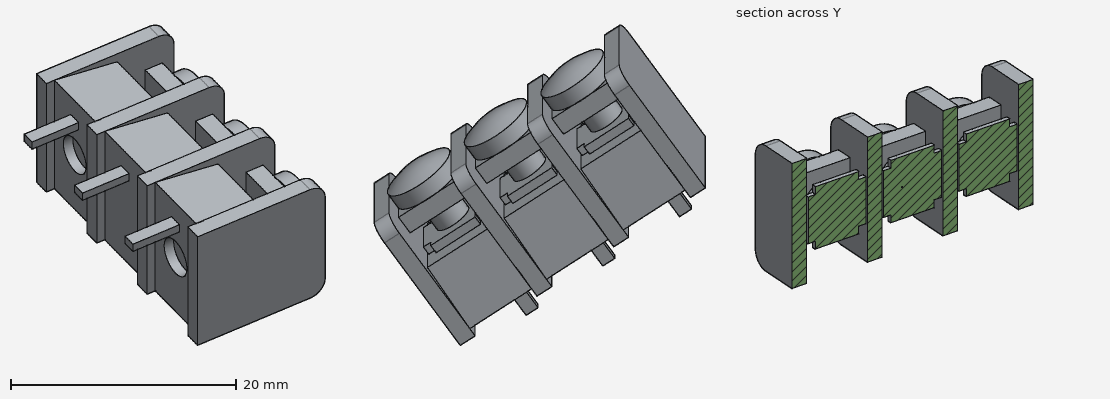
import cadquery as cq
import math


length = 26.42
cell_count = 3
wall_thickness = 1.6
wall_depth = 13.47
wall_corner_radius = 1.6
wall_height = 12.7
pitch = (length - wall_thickness) / cell_count

body_front = 0.85
body_back = 7.48
body_taper = 0.92

recess_diameter = 3.73
recess_depth = 1.0

pin_width = 1.3
metal_thickness = 0.85
pin_tip = -4.07
pin_height = 3.85

contact_size = 6.37
contact_notch = 0.8

clamp_size = 6.42
clamp_front = 10.35
clamp_back = 12.15
shank_diameter = 3.43
head_diameter = 6.7
head_rim_height = 1.53
dome_height = 0.8

wall_positions = [(i - cell_count / 2) * pitch for i in range(cell_count + 1)]
cell_positions = [(i - (cell_count - 1) / 2) * pitch for i in range(cell_count)]
end_cells = (cell_positions[0], cell_positions[-1])


def block(x, z, y_start, y_end, width, depth_z):
    """Rectangular bar along Y, centred on (x, z)."""
    return cq.Workplane("XY").box(width, y_end - y_start, depth_z).translate((x, (y_start + y_end) / 2, z))


def wall(x):
    """Barrier wall with rounded corners on the screw side."""
    plate = block(x, 0, 0, wall_depth, wall_thickness, wall_height)
    return plate.edges("|X and >Y").fillet(wall_corner_radius)


def body(x):
    """Cell body with sloping top and bottom faces, running between the wall centres."""
    half_front = wall_height / 2
    half_back = half_front - body_taper
    profile = [
        (body_front, -half_front),
        (body_back, -half_back),
        (body_back, half_back),
        (body_front, half_front),
    ]
    return cq.Workplane("YZ", origin=(x, 0, 0)).polyline(profile).close().extrude(pitch / 2, both=True)


def recess(x):
    """Cutter for the blind recess in the pin side of a body."""
    plane = cq.Workplane("XZ", origin=(x, body_front, 0))
    return plane.circle(recess_diameter / 2).extrude(-recess_depth)


def pin(x):
    """Solder pin standing out of the pin side of a body."""
    return block(x, pin_height, pin_tip, body_front, pin_width, metal_thickness)


def contact(x):
    """Square contact plate with notched corners."""
    contact_back = body_back + metal_thickness
    waist = contact_size - 2 * contact_notch
    wide = block(x, 0, body_back, contact_back, contact_size, waist)
    tall = block(x, 0, body_back, contact_back, waist, contact_size)
    return wide.union(tall)


def clamp(x):
    """Square clamp plate under the screw head."""
    return block(x, 0, clamp_front, clamp_back, clamp_size, clamp_size)


def screw(x):
    """Screw turned about its axis: shank, cylindrical rim and domed head."""
    shank_radius = shank_diameter / 2
    head_radius = head_diameter / 2
    rim_top = clamp_back + head_rim_height
    dome_top = rim_top + dome_height
    dome_radius = (head_radius**2 + dome_height**2) / (2 * dome_height)
    mid_radius = head_radius / 2
    mid_height = dome_top - dome_radius + math.sqrt(dome_radius**2 - mid_radius**2)
    profile = (
        cq.Workplane("XY")
        .moveTo(0, body_back)
        .lineTo(shank_radius, body_back)
        .lineTo(shank_radius, clamp_back)
        .lineTo(head_radius, clamp_back)
        .lineTo(head_radius, rim_top)
        .threePointArc((mid_radius, mid_height), (0, dome_top))
        .close()
    )
    return profile.revolve(360, (0, 0), (0, 1)).translate((x, 0, 0))


result = body(cell_positions[0])
for x in cell_positions[1:]:
    result = result.union(body(x))
for x in wall_positions:
    result = result.union(wall(x))
for x in cell_positions:
    for make_feature in (pin, contact, clamp, screw):
        result = result.union(make_feature(x))
for x in end_cells:
    result = result.cut(recess(x))